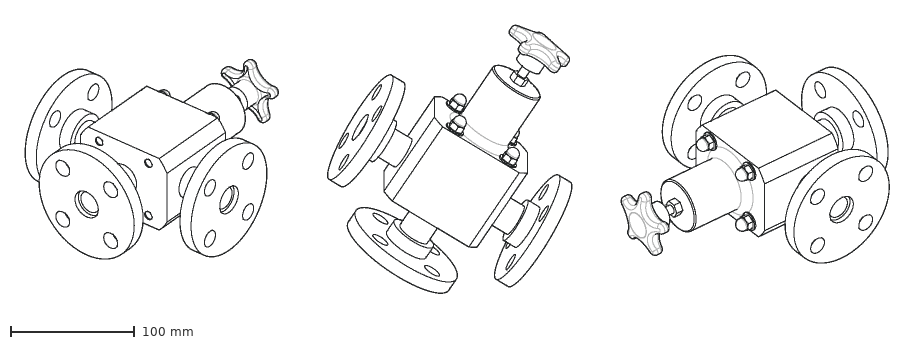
import cadquery as cq
import math


BODY_WIDTH = 89.4
BODY_HEIGHT = 69.7
BODY_CORNER_DIAMETER = 101.2
BODY_BACK = 46.9
BODY_FRONT = -29.0

FLANGE_DIAMETER = 98.4
FLANGE_THICKNESS = 11.6
COLLAR_DIAMETER = 38.1
COLLAR_LENGTH = 11.2
PIPE_DIAMETER = 26.7
PORT_BORE = 18.8
SEAT_DIAMETER = 24.0
SEAT_DEPTH = 4.4
FLANGE_HOLE = 14.2
FLANGE_HOLE_SPACING = 49.5
SIDE_PORT_SPAN = 171.5
FRONT_PORT_REACH = 77.0

STUD_SPACING = 50.8
STUD_HOLE = 7.5
STUD_HOLE_DEPTH = 1.0
WASHER_DIAMETER = 15.8
WASHER_THICKNESS = 1.0
ACORN_HEX_CORNERS = 13.0
ACORN_HEX_HEIGHT = 5.3
ACORN_HEX_CHAMFER = 0.9
ACORN_DOME_DIAMETER = 11.0
ACORN_NECK_HEIGHT = 1.3

BONNET_DIAMETER = 45.8
BONNET_BACK = 101.2
BONNET_CHAMFER = 1.0
BONNET_FLARE = 6.8
GLAND_HEX_CORNERS = 14.2
GLAND_BACK = 107.5
STEM_DIAMETER = 7.5

HUB_DIAMETER = 22.1
HUB_FRONT = 117.6
HANDLE_FRONT = 130.0
HANDLE_BACK = 142.2
LOBES = 5
LOBE_TIP_REACH = 28.7
LOBE_TIP_RADIUS = 4.5
VALLEY_REACH = 16.0
HANDLE_RIM_DROP = 4.0
HANDLE_EDGE_FILLET = 3.0
HOLLOW_WALL = 2.6
HOLLOW_DEPTH = 3.5
HUB_FILLET = 1.8


def plane_at(y):
    """Work plane across the stem, with local x along X and local y along Z."""
    return cq.Workplane("XZ", origin=(0, y, 0))


def disc(diameter, front, back):
    """Cylinder on the stem axis between two Y positions."""
    return plane_at(back).circle(diameter / 2).extrude(back - front)


def hexagon(corners, front, back):
    """Hexagonal prism on the stem axis with two corners on the X axis."""
    return plane_at(back).polygon(6, corners).extrude(back - front)


def make_body():
    """Turned-corner block with shallow stud holes in its front face."""
    length = BODY_BACK - BODY_FRONT
    block = plane_at(BODY_BACK).rect(BODY_WIDTH, BODY_HEIGHT).extrude(length)
    block = block.intersect(disc(BODY_CORNER_DIAMETER, BODY_FRONT, BODY_BACK))
    stud_holes = (
        plane_at(BODY_FRONT + STUD_HOLE_DEPTH)
        .rect(STUD_SPACING, STUD_SPACING, forConstruction=True)
        .vertices()
        .circle(STUD_HOLE / 2)
        .extrude(STUD_HOLE_DEPTH)
    )
    return block.cut(stud_holes)


def make_port(reach, wall):
    """Port facing -Y: flange face at `reach`, pipe ending at the body wall."""
    flange_back = -reach + FLANGE_THICKNESS
    flange = disc(FLANGE_DIAMETER, -reach, flange_back)
    holes = (
        plane_at(flange_back)
        .rect(FLANGE_HOLE_SPACING, FLANGE_HOLE_SPACING, forConstruction=True)
        .vertices()
        .circle(FLANGE_HOLE / 2)
        .extrude(FLANGE_THICKNESS)
    )
    collar = disc(COLLAR_DIAMETER, flange_back, flange_back + COLLAR_LENGTH)
    pipe = disc(PIPE_DIAMETER, flange_back, -wall)
    bore = disc(PORT_BORE, -reach, -wall)
    seat = disc(SEAT_DIAMETER, -reach, -reach + SEAT_DEPTH)
    return flange.cut(holes).union(collar).union(pipe).cut(bore).cut(seat)


def make_acorn_nut():
    """Washer and domed nut on the stem axis, standing on the body."""
    washer_back = BODY_BACK + WASHER_THICKNESS
    hex_back = washer_back + ACORN_HEX_HEIGHT
    dome_base = hex_back + ACORN_NECK_HEIGHT
    washer = disc(WASHER_DIAMETER, BODY_BACK, washer_back)
    blank = disc(ACORN_HEX_CORNERS, washer_back, hex_back).faces(">Y").chamfer(ACORN_HEX_CHAMFER)
    nut = hexagon(ACORN_HEX_CORNERS, washer_back, hex_back)
    nut = nut.rotate((0, 0, 0), (0, 1, 0), 90).intersect(blank)
    neck = disc(ACORN_DOME_DIAMETER, washer_back, dome_base)
    dome = cq.Workplane("XY").sphere(ACORN_DOME_DIAMETER / 2).translate((0, dome_base, 0))
    return washer.union(nut).union(neck).union(dome)


def make_bonnet():
    """Bonnet flaring onto the body, with the gland nut and stem behind it."""
    radius = BONNET_DIAMETER / 2
    flare_back = BODY_BACK + BONNET_FLARE
    flare_offset = BONNET_FLARE * (1 - math.sqrt(0.5))
    bonnet = (
        cq.Workplane("XY")
        .moveTo(0, BODY_BACK)
        .lineTo(radius + BONNET_FLARE, BODY_BACK)
        .threePointArc((radius + flare_offset, BODY_BACK + flare_offset), (radius, flare_back))
        .lineTo(radius, BONNET_BACK - BONNET_CHAMFER)
        .lineTo(radius - BONNET_CHAMFER, BONNET_BACK)
        .lineTo(0, BONNET_BACK)
        .close()
        .revolve(360, (0, 0, 0), (0, 1, 0))
    )
    gland = hexagon(GLAND_HEX_CORNERS, BONNET_BACK, GLAND_BACK)
    stem = disc(STEM_DIAMETER, BONNET_BACK, HUB_FRONT)
    return bonnet.union(gland).union(stem)


def polar(radius, angle):
    """Point at a distance and angle from the stem axis."""
    return (radius * math.cos(angle), radius * math.sin(angle))


def star_outline(y):
    """Lobed star with round tips joined by hollow arcs tangent to the tips, one tip pointing up."""
    half_step = math.pi / LOBES
    tip_centre = LOBE_TIP_REACH - LOBE_TIP_RADIUS
    run = tip_centre * math.cos(half_step) - VALLEY_REACH
    rise = tip_centre * math.sin(half_step)
    valley_radius = (run**2 + rise**2 - LOBE_TIP_RADIUS**2) / (2 * (LOBE_TIP_RADIUS + run))
    valley_centre = VALLEY_REACH + valley_radius

    up = math.pi / 2
    tangent_turn = math.atan2(rise, valley_centre - tip_centre * math.cos(half_step))
    touch_x = valley_centre - valley_radius * math.cos(tangent_turn)
    touch_y = valley_radius * math.sin(tangent_turn)
    touch_reach = math.hypot(touch_x, touch_y)
    touch_angle = half_step - math.atan2(touch_y, touch_x)

    outline = plane_at(y).moveTo(*polar(touch_reach, up - touch_angle))
    for lobe in range(LOBES):
        tip = up + 2 * half_step * lobe
        outline = outline.threePointArc(polar(LOBE_TIP_REACH, tip), polar(touch_reach, tip + touch_angle))
        next_touch = tip + 2 * half_step - touch_angle
        outline = outline.threePointArc(polar(VALLEY_REACH, tip + half_step), polar(touch_reach, next_touch))
    return outline.close()


def make_handle():
    """Star handle with a gently domed back, hollow front and round hub."""
    thickness = HANDLE_BACK - HANDLE_FRONT
    hub_radius = HUB_DIAMETER / 2
    crown_height = (LOBE_TIP_REACH**2 - hub_radius**2 + HANDLE_RIM_DROP**2) / (2 * HANDLE_RIM_DROP)
    dome_radius = math.hypot(hub_radius, crown_height)
    dome_centre = HANDLE_BACK - crown_height
    dome = cq.Workplane("XY").sphere(dome_radius).translate((0, dome_centre, 0))
    star = star_outline(HANDLE_BACK).extrude(thickness).intersect(dome)
    star = star.edges("not |Y").fillet(HANDLE_EDGE_FILLET)

    hub_root = HANDLE_FRONT + HOLLOW_DEPTH
    hollow = star_outline(hub_root).offset2D(-HOLLOW_WALL).extrude(HOLLOW_DEPTH)
    hub = disc(HUB_DIAMETER, HUB_FRONT, hub_root)
    handle = star.cut(hollow).union(hub)
    root_circle = cq.selectors.NearestToPointSelector((0, hub_root, 0))
    return handle.edges(root_circle).fillet(HUB_FILLET)


result = make_body().union(make_bonnet()).union(make_handle())

acorn_nut = make_acorn_nut()
for side_x in (-1, 1):
    for side_z in (-1, 1):
        offset = (side_x * STUD_SPACING / 2, 0, side_z * STUD_SPACING / 2)
        result = result.union(acorn_nut.translate(offset))

result = result.union(make_port(FRONT_PORT_REACH, -BODY_FRONT))
side_port = make_port(SIDE_PORT_SPAN / 2, BODY_WIDTH / 2)
for turn in (-90, 90):
    result = result.union(side_port.rotate((0, 0, 0), (0, 0, 1), turn))